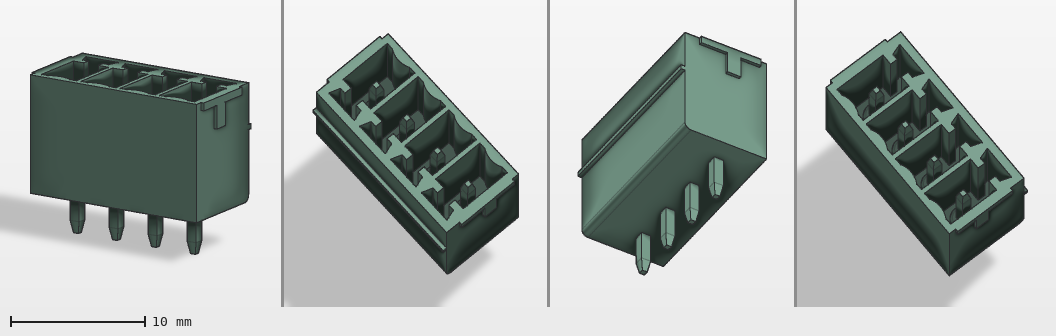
import cadquery as cq


body_length = 14.81
body_depth = 7.11
body_bottom = 3.43
body_height = 9.18
body_top = body_bottom + body_height
bottom_edge_radius = 0.54

rib_depth = 0.34
rib_height = 0.38
rib_bottom = 8.97

total_length = 15.3
key_thickness = (total_length - body_length) / 2
key_bar_front = 0.61
key_bar_back = 5.85
key_bar_height = 0.61
key_stem_front = 2.39
key_stem_back = 3.55
key_height = 2.45

way_count = 4
cavity_pitch = 3.5
cavity_row_offset = 0.05
cavity_depth = 7.04
cavity_floor = body_top - cavity_depth
chamber_half_width = 1.56
chamber_front = 0.57
chamber_back = 4.93
neck_half_width = 0.65
dovetail_front = 5.55
dovetail_back = 6.44
dovetail_front_half_width = 1.16
dovetail_back_half_width = 1.45
bulge_half_width = 0.98
bulge_height = 0.26

pin_pitch = 3.47
pin_y = 3.08
pin_width = 0.8
pin_tip_width = 0.43
pin_taper = 0.98
pin_top = 11.52
collar_diameter = 2.0
collar_height = 0.5
collar_edge_radius = 0.2


def row_positions(pitch, offset=0.0):
    """X positions of the ways, evenly spaced about the offset."""
    return [offset + (i - (way_count - 1) / 2) * pitch for i in range(way_count)]


def box(x_range, y_range, z_range):
    """Axis-aligned box between the given limits."""
    sizes = [high - low for low, high in (x_range, y_range, z_range)]
    corner = (x_range[0], y_range[0], z_range[0])
    return cq.Workplane("XY").box(*sizes, centered=False).translate(corner)


def make_housing():
    half_length = body_length / 2
    x_range = (-half_length, half_length)
    block = box(x_range, (0, body_depth), (body_bottom, body_top))
    block = block.edges(">Y and <Z").fillet(bottom_edge_radius)
    rib = box(x_range, (body_depth, body_depth + rib_depth), (rib_bottom, rib_bottom + rib_height))
    return block.union(rib)


def make_key(inner_x, outer_x):
    """T-shaped key whose bar is flush with the top of the housing."""
    x_range = (min(inner_x, outer_x), max(inner_x, outer_x))
    bar = box(x_range, (key_bar_front, key_bar_back), (body_top - key_bar_height, body_top))
    stem = box(x_range, (key_stem_front, key_stem_back), (body_top - key_height, body_top))
    return bar.union(stem)


def make_cavity(x):
    """Rectangular chamber joined by a neck to a dovetail slot, with a bulge on its front wall."""
    return (
        cq.Workplane("XY", origin=(x, 0, cavity_floor))
        .moveTo(-chamber_half_width, chamber_front)
        .lineTo(-bulge_half_width, chamber_front)
        .threePointArc((0, chamber_front + bulge_height), (bulge_half_width, chamber_front))
        .lineTo(chamber_half_width, chamber_front)
        .lineTo(chamber_half_width, chamber_back)
        .lineTo(neck_half_width, chamber_back)
        .lineTo(neck_half_width, dovetail_front)
        .lineTo(dovetail_front_half_width, dovetail_front)
        .lineTo(dovetail_back_half_width, dovetail_back)
        .lineTo(-dovetail_back_half_width, dovetail_back)
        .lineTo(-dovetail_front_half_width, dovetail_front)
        .lineTo(-neck_half_width, dovetail_front)
        .lineTo(-neck_half_width, chamber_back)
        .lineTo(-chamber_half_width, chamber_back)
        .close()
        .extrude(cavity_depth)
    )


def make_pin_tip(x, base_z, direction):
    """Square tip that narrows along Z; direction is 1 for upward and -1 for downward."""
    return (
        cq.Workplane("XY", origin=(x, pin_y, base_z))
        .rect(pin_width, pin_width)
        .workplane(offset=direction * pin_taper)
        .rect(pin_tip_width, pin_tip_width)
        .loft(ruled=True)
    )


def make_pin(x):
    """Square pin pointed at both ends, with its collar."""
    shank_top = pin_top - pin_taper
    shank = (
        cq.Workplane("XY", origin=(x, pin_y, pin_taper))
        .rect(pin_width, pin_width)
        .extrude(shank_top - pin_taper)
    )
    collar = (
        cq.Workplane("XY", origin=(x, pin_y, cavity_floor))
        .circle(collar_diameter / 2)
        .extrude(collar_height)
        .faces(">Z")
        .edges()
        .fillet(collar_edge_radius)
    )
    pin = shank.union(collar)
    pin = pin.union(make_pin_tip(x, shank_top, 1))
    return pin.union(make_pin_tip(x, pin_taper, -1))


result = make_housing()
for side in (-1, 1):
    inner_x = side * body_length / 2
    result = result.union(make_key(inner_x, inner_x + side * key_thickness))
for x in row_positions(cavity_pitch, cavity_row_offset):
    result = result.cut(make_cavity(x))
for x in row_positions(pin_pitch):
    result = result.union(make_pin(x))